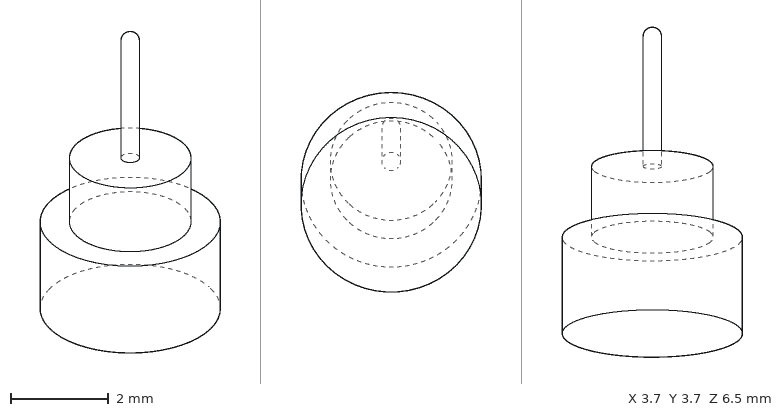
import cadquery as cq

total_height = 6.5
base_diameter = 3.7
base_height = 2.05
collar_diameter = 2.495
collar_height = 1.5
pin_diameter = 0.385

collar_top = base_height + collar_height
pin_radius = pin_diameter / 2
pin_straight_top = total_height - pin_radius


def cylinder(diameter, bottom, top):
    """Upright cylinder on the Z axis between two heights."""
    return cq.Workplane("XY").workplane(offset=bottom).circle(diameter / 2).extrude(top - bottom)


base = cylinder(base_diameter, 0, base_height)
collar = cylinder(collar_diameter, base_height, collar_top)

pin_shaft = cylinder(pin_diameter, collar_top, pin_straight_top)
pin_tip = cq.Workplane("XY").sphere(pin_radius).translate((0, 0, pin_straight_top))

result = base.union(collar).union(pin_shaft).union(pin_tip)